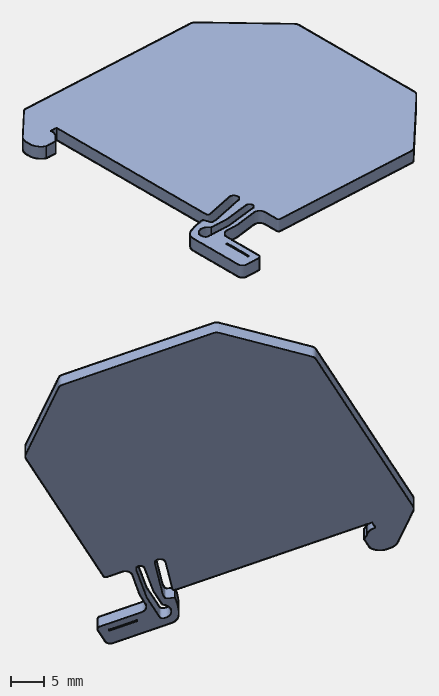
import cadquery as cq
import math

total_length = 53.6
total_width = 51.6
thickness = 2.2

plate_right = 48.05
plate_bottom = 5.95
shoulder_y = 12.75
top_chamfer = 11.05
top_corner_radius = 1.05
small_corner_radius = 0.4

hook_corner_y = 5.85
hook_corner_radius = 1.2
hook_diagonal_end_x = 5.3
hook_flat_start_x = 6.75
hook_flat_end_x = 7.55
hook_heel_middle = (5.95, 0.15)
hook_nose_middle = (8.75, 0.45)
hook_tip_x = 9.55
hook_tip_bottom = 1.4
hook_tip_top = 3.4
hook_back_start = (8.8, 3.9)
hook_back_middle = (8.1, 4.55)
notch_x = 6.95
notch_y = 4.75

outer_slot_angle = math.radians(15)
outer_slot_radius = 0.8
outer_slot_center = (39.2, shoulder_y - outer_slot_radius)

foot_inner_x = 41.65
toe_corner_y = 5.0
toe_tip = (40.25, 4.55)
toe_side_middle = (40.6, 2.95)
toe_side_end = (41.2, 1.2)
toe_heel_middle = (41.8, 0.45)
foot_bottom_start_x = 42.8

leg_top_x = 43.8
leg_side_x = 44.8
leg_bend_y = 7.3
leg_bend_radius = 5.35
leg_root_radius = 1.05
tab_top = 3.95
tab_root_radius = 1.3
tab_top_radius = 0.65
tab_bottom_radius = 0.85

inner_slot_angle = math.radians(10)
inner_slot_radius = 0.65
inner_slot_center = (42.4, shoulder_y - inner_slot_radius)
inner_slot_left = 42.6
inner_slot_right = 44.05
bulb_center = (43.25, 2.8)
bulb_radius = 1.4
bulb_corner_radius = 0.5

slit_left = 47.45
slit_length = 4.65
slit_bottom = 2.6
slit_width = 0.2


def slot_side(center, radius, angle, side):
    """Tangent point on a slot's round end; side is -1 for left, 1 for right."""
    return (
        center[0] + side * radius * math.cos(angle),
        center[1] + side * radius * math.sin(angle),
    )


def x_at_y(start, angle, y):
    """X of the line from start that leans toward +X by angle while going down."""
    return start[0] + (start[1] - y) * math.tan(angle)


def y_at_x(start, angle, x):
    """Y of the line from start that leans toward +X by angle while going down."""
    return start[1] - (x - start[0]) / math.tan(angle)


def round_corner(body, x, y, radius):
    """Round the upright edge standing at (x, y)."""
    reach = 0.025
    corner = cq.selectors.BoxSelector(
        (x - reach, y - reach, -reach),
        (x + reach, y + reach, thickness + reach),
    )
    return body.edges("|Z").edges(corner).fillet(radius)


def make_body():
    """Plate, hook and spring foot as one outline, with the outer slot open below."""
    slot_left = slot_side(outer_slot_center, outer_slot_radius, outer_slot_angle, -1)
    slot_right = slot_side(outer_slot_center, outer_slot_radius, outer_slot_angle, 1)
    slot_top = (
        outer_slot_center[0] - outer_slot_radius * math.sin(outer_slot_angle),
        outer_slot_center[1] + outer_slot_radius * math.cos(outer_slot_angle),
    )
    plate_corner_x = x_at_y(slot_left, outer_slot_angle, plate_bottom)
    foot_bend_y = y_at_x(slot_right, outer_slot_angle, foot_inner_x)
    chamfer_y = total_width - top_chamfer

    body = (
        cq.Workplane("XY")
        .moveTo(0, hook_corner_y)
        .lineTo(hook_diagonal_end_x, hook_corner_y - hook_diagonal_end_x)
        .threePointArc(hook_heel_middle, (hook_flat_start_x, 0))
        .lineTo(hook_flat_end_x, 0)
        .threePointArc(hook_nose_middle, (hook_tip_x, hook_tip_bottom))
        .lineTo(hook_tip_x, hook_tip_top)
        .lineTo(*hook_back_start)
        .threePointArc(hook_back_middle, (notch_x, notch_y))
        .lineTo(notch_x, plate_bottom)
        .lineTo(plate_corner_x, plate_bottom)
        .lineTo(*slot_left)
        .threePointArc(slot_top, slot_right)
        .lineTo(foot_inner_x, foot_bend_y)
        .lineTo(foot_inner_x, toe_corner_y)
        .lineTo(*toe_tip)
        .threePointArc(toe_side_middle, toe_side_end)
        .threePointArc(toe_heel_middle, (foot_bottom_start_x, 0))
        .lineTo(total_length, 0)
        .lineTo(total_length, tab_top)
        .lineTo(leg_side_x, tab_top)
        .lineTo(leg_side_x, leg_bend_y)
        .lineTo(leg_top_x, shoulder_y)
        .lineTo(plate_right, shoulder_y)
        .lineTo(plate_right, chamfer_y)
        .lineTo(plate_right - top_chamfer, total_width)
        .lineTo(top_chamfer, total_width)
        .lineTo(0, chamfer_y)
        .close()
        .extrude(thickness)
    )

    corners = [
        (0, hook_corner_y, hook_corner_radius),
        (0, chamfer_y, top_corner_radius),
        (top_chamfer, total_width, top_corner_radius),
        (plate_right - top_chamfer, total_width, top_corner_radius),
        (plate_right, chamfer_y, top_corner_radius),
        (plate_right, shoulder_y, small_corner_radius),
        (plate_corner_x, plate_bottom, small_corner_radius),
        (foot_inner_x, toe_corner_y, small_corner_radius),
        (leg_top_x, shoulder_y, leg_root_radius),
        (leg_side_x, leg_bend_y, leg_bend_radius),
        (leg_side_x, tab_top, tab_root_radius),
        (total_length, tab_top, tab_top_radius),
        (total_length, 0, tab_bottom_radius),
    ]
    for x, y, radius in corners:
        body = round_corner(body, x, y, radius)
    return body


def make_inner_slot():
    """Bent slot with a round top and a bulb at its lower end."""
    left = slot_side(inner_slot_center, inner_slot_radius, inner_slot_angle, -1)
    right = slot_side(inner_slot_center, inner_slot_radius, inner_slot_angle, 1)
    top = (
        inner_slot_center[0] - inner_slot_radius * math.sin(inner_slot_angle),
        inner_slot_center[1] + inner_slot_radius * math.cos(inner_slot_angle),
    )
    left_offset = bulb_center[0] - inner_slot_left
    right_offset = inner_slot_right - bulb_center[0]
    bulb_top_y = bulb_center[1] + math.sqrt(bulb_radius**2 - left_offset**2)
    bulb_end_y = bulb_center[1] - math.sqrt(bulb_radius**2 - right_offset**2)

    slot = (
        cq.Workplane("XY")
        .moveTo(*left)
        .threePointArc(top, right)
        .lineTo(inner_slot_right, y_at_x(right, inner_slot_angle, inner_slot_right))
        .lineTo(inner_slot_right, bulb_end_y)
        .threePointArc((bulb_center[0] - bulb_radius, bulb_center[1]), (inner_slot_left, bulb_top_y))
        .lineTo(inner_slot_left, y_at_x(left, inner_slot_angle, inner_slot_left))
        .close()
        .extrude(thickness)
    )
    return round_corner(slot, inner_slot_right, bulb_end_y, bulb_corner_radius)


def make_slit():
    """Narrow slit through the tab."""
    return (
        cq.Workplane("XY")
        .box(slit_length, slit_width, thickness, centered=False)
        .translate((slit_left, slit_bottom, 0))
    )


result = make_body().cut(make_inner_slot()).cut(make_slit())